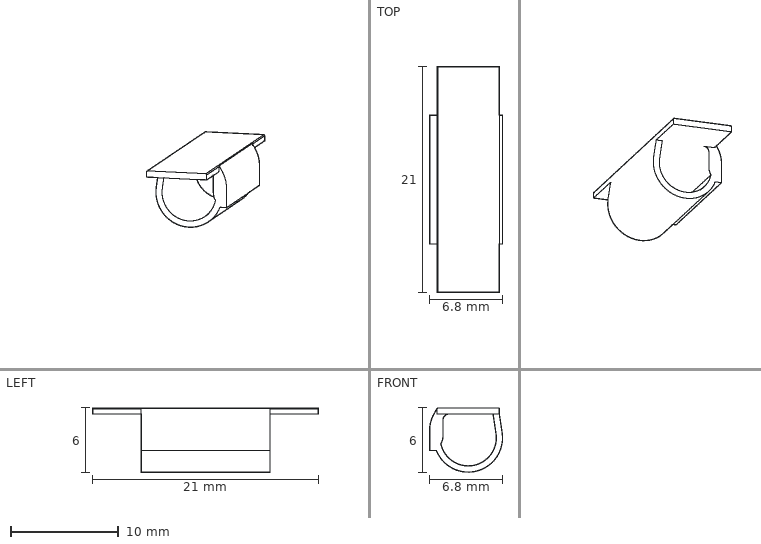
import cadquery as cq
import math


plate_length = 21.0
channel_length = 12.0

outer_radius = 3.2
wall = 0.6
inner_radius = outer_radius - wall
wall_lean = math.radians(8.5)

plate_top = 2.8
plate_thickness = 0.6
plate_bottom = plate_top - plate_thickness
plate_left = -2.9
edge_radius = 0.12
bevel_height = 0.12

block_left = -3.6
block_bottom = -1.18
block_inner = -2.33
shoulder_start = 0.72
shoulder_radius = 3.0
shoulder_turn = math.radians(30.0)
shoulder_drop = 0.05
corner_radius = 0.5
lip_start = 0.2
lip_radius = 1.4


def polar(radius, angle, center=(0.0, 0.0)):
    """Point at the given angle on a circle in the XZ section."""
    return (center[0] + radius * math.cos(angle), center[1] + radius * math.sin(angle))


def leaning_wall_x(radius, height):
    """X of the leaning line tangent to a bore-centred circle, at a given height."""
    return (radius - height * math.sin(wall_lean)) / math.cos(wall_lean)


def circle_meeting_angle(center, radius):
    """Angle, about center, where this circle meets the bore below the center on the -X side."""
    distance = math.hypot(*center)
    toward_axis = math.atan2(-center[1], -center[0])
    cosine = (distance**2 + radius**2 - inner_radius**2) / (2 * distance * radius)
    return toward_axis - math.acos(cosine)


plate_right = leaning_wall_x(outer_radius, plate_bottom)
bevel_top_x = plate_left + bevel_height * math.tan(shoulder_turn)


def extrude_along_y(section, length):
    return section.extrude(length / 2, both=True)


def make_plate():
    section = (
        cq.Workplane("XZ")
        .moveTo(plate_left, plate_bottom)
        .lineTo(plate_right, plate_bottom)
        .lineTo(plate_right, plate_top)
        .lineTo(bevel_top_x, plate_top)
        .lineTo(plate_left, plate_top - bevel_height)
        .close()
    )
    plate = extrude_along_y(section, plate_length)
    return plate.faces(">Z").edges(">X").fillet(edge_radius)


def make_channel():
    shoulder_center = (block_left + shoulder_radius, shoulder_start)
    shoulder_middle = polar(shoulder_radius, math.pi - shoulder_turn / 2, shoulder_center)
    shoulder_end = polar(shoulder_radius, math.pi - shoulder_turn, shoulder_center)

    corner_center = (block_inner + corner_radius, plate_bottom - corner_radius)
    corner_middle = polar(corner_radius, math.radians(135), corner_center)

    lip_center = (block_inner - lip_radius, lip_start)
    lip_angle = circle_meeting_angle(lip_center, lip_radius)
    lip_middle = polar(lip_radius, lip_angle / 2, lip_center)
    lip_end = polar(lip_radius, lip_angle, lip_center)

    block_foot = (-math.sqrt(outer_radius**2 - block_bottom**2), block_bottom)

    section = (
        cq.Workplane("XZ")
        .moveTo(block_left, block_bottom)
        .lineTo(block_left, shoulder_start)
        .threePointArc(shoulder_middle, shoulder_end)
        .lineTo(plate_left, plate_top - shoulder_drop)
        .lineTo(bevel_top_x, plate_top)
        .lineTo(bevel_top_x, plate_bottom)
        .lineTo(corner_center[0], plate_bottom)
        .threePointArc(corner_middle, (block_inner, corner_center[1]))
        .lineTo(block_inner, lip_start)
        .threePointArc(lip_middle, lip_end)
        .threePointArc((0, -inner_radius), polar(inner_radius, wall_lean))
        .lineTo(leaning_wall_x(inner_radius, plate_bottom), plate_bottom)
        .lineTo(plate_right, plate_bottom)
        .lineTo(*polar(outer_radius, wall_lean))
        .threePointArc((0, -outer_radius), block_foot)
        .close()
    )
    return extrude_along_y(section, channel_length)


result = make_plate().union(make_channel())